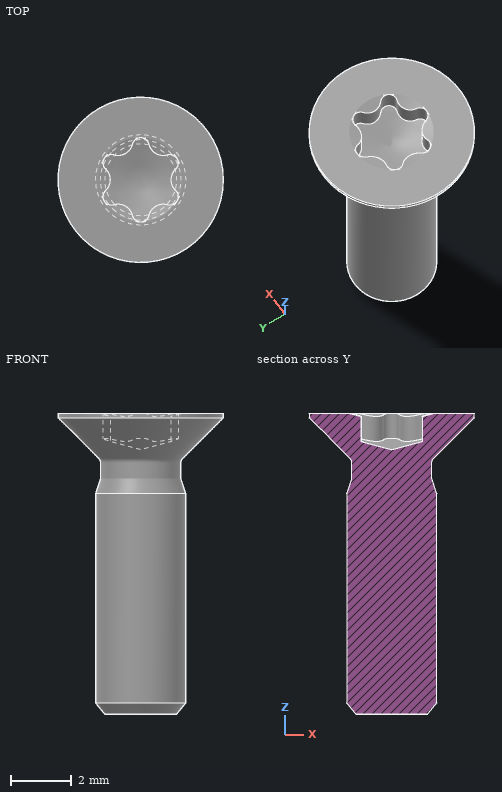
import cadquery as cq
import math

screw_length = 10.0
head_diameter = 5.5
head_rim_height = 0.15
head_cone_angle = 90.0
head_fillet_radius = 0.2

thread_diameter = 3.0
neck_diameter = 2.675
neck_bottom_depth = 2.17
shoulder_height = 0.5
tip_diameter = 2.387
tip_chamfer_height = 0.375

lobe_count = 6
socket_outer_diameter = 2.8
socket_inner_diameter = 2.02
lobe_radius = 0.28
socket_wall_depth = 0.83
socket_cone_slope = 15.0


def revolve_about_z(profile):
    """Revolve an outline drawn as (radius, z) fully about the Z axis."""
    return profile.close().revolve(360, (0, 0, 0), (0, 1, 0))


def make_body():
    """Turned outline: head, filleted neck, conical shoulder, shank and chamfered tip."""
    head_radius = head_diameter / 2
    neck_radius = neck_diameter / 2
    thread_radius = thread_diameter / 2
    half_angle = math.radians(head_cone_angle / 2)

    corner_z = -head_rim_height - (head_radius - neck_radius) / math.tan(half_angle)
    tangent_length = head_fillet_radius * math.tan(half_angle / 2)
    cone_tangent = (
        neck_radius + tangent_length * math.sin(half_angle),
        corner_z + tangent_length * math.cos(half_angle),
    )
    neck_tangent = (neck_radius, corner_z - tangent_length)
    fillet_middle = (
        neck_radius + head_fillet_radius * (1 - math.cos(half_angle / 2)),
        neck_tangent[1] + head_fillet_radius * math.sin(half_angle / 2),
    )

    profile = (
        cq.Workplane("XZ")
        .moveTo(0, 0)
        .lineTo(head_radius, 0)
        .lineTo(head_radius, -head_rim_height)
        .lineTo(*cone_tangent)
        .threePointArc(fillet_middle, neck_tangent)
        .lineTo(neck_radius, -neck_bottom_depth)
        .lineTo(thread_radius, -neck_bottom_depth - shoulder_height)
        .lineTo(thread_radius, -screw_length + tip_chamfer_height)
        .lineTo(tip_diameter / 2, -screw_length)
        .lineTo(0, -screw_length)
    )
    return revolve_about_z(profile)


def polar(radius, angle):
    """Point in the XY plane at a radius and an angle in radians."""
    return (radius * math.cos(angle), radius * math.sin(angle))


def make_lobe_prism(depth):
    """Six-lobe prism from Z = 0 down; lobe and valley arcs meet tangentially."""
    outer_radius = socket_outer_diameter / 2
    inner_radius = socket_inner_diameter / 2
    half_pitch = math.pi / lobe_count
    lobe_center = outer_radius - lobe_radius

    cosine = math.cos(half_pitch)
    valley_radius = (
        lobe_center**2 + inner_radius**2 - 2 * lobe_center * inner_radius * cosine - lobe_radius**2
    ) / (2 * (lobe_radius - inner_radius + lobe_center * cosine))
    valley_center = inner_radius + valley_radius

    share = lobe_radius / (lobe_radius + valley_radius)
    touch_x = lobe_center + share * (valley_center * cosine - lobe_center)
    touch_y = share * valley_center * math.sin(half_pitch)
    touch_radius = math.hypot(touch_x, touch_y)
    touch_angle = math.atan2(touch_y, touch_x)

    first_lobe = math.pi / 2
    outline = cq.Workplane("XY").moveTo(*polar(touch_radius, first_lobe - touch_angle))
    for index in range(lobe_count):
        lobe = first_lobe + 2 * half_pitch * index
        next_lobe = lobe + 2 * half_pitch
        outline = outline.threePointArc(
            polar(outer_radius, lobe), polar(touch_radius, lobe + touch_angle)
        )
        outline = outline.threePointArc(
            polar(inner_radius, lobe + half_pitch), polar(touch_radius, next_lobe - touch_angle)
        )
    return outline.close().extrude(-depth)


def make_socket():
    """Socket cutter: conical lead-in, lobed wall and conical floor."""
    outer_radius = socket_outer_diameter / 2
    cone_height = outer_radius * math.tan(math.radians(socket_cone_slope))
    apex_depth = socket_wall_depth + cone_height

    lead_in = revolve_about_z(
        cq.Workplane("XZ").moveTo(0, 0).lineTo(outer_radius, 0).lineTo(0, -cone_height)
    )
    floor_limit = revolve_about_z(
        cq.Workplane("XZ")
        .moveTo(0, 0)
        .lineTo(outer_radius, 0)
        .lineTo(outer_radius, -socket_wall_depth)
        .lineTo(0, -apex_depth)
    )
    return make_lobe_prism(apex_depth).intersect(floor_limit).union(lead_in)


result = make_body().cut(make_socket())